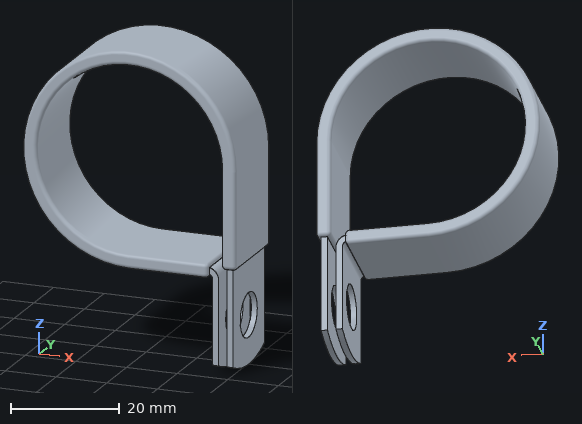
import cadquery as cq
import math

outer_radius = 21.05
cushion_thickness = 2.85
cushion_width = 17.5
cushion_rounding = 0.8
upright_cushion_end = -19.05
level_cushion_end = 15.6

strap_thickness = 1.2
strap_width = 16.0
bend_outer_radius = 2.3
bent_tab_outer_x = 17.4

tab_bottom = outer_radius - 60.65
tab_tip_rise = 1.75
hole_diameter = 8.6
hole_z = -30.0

cushion_inner_radius = outer_radius - cushion_thickness
strap_outer_radius = outer_radius - (cushion_thickness - strap_thickness) / 2
strap_inner_radius = strap_outer_radius - strap_thickness
diagonal = math.sqrt(0.5)


def loop_profile(outer, inner, upright_end, level_end):
    """Three-quarter loop with a level leg toward +X and an upright leg toward -Z."""
    return (
        cq.Workplane("XZ")
        .moveTo(level_end, -outer)
        .lineTo(0, -outer)
        .threePointArc((-outer * diagonal, outer * diagonal), (outer, 0))
        .lineTo(outer, upright_end)
        .lineTo(inner, upright_end)
        .lineTo(inner, 0)
        .threePointArc((-inner * diagonal, inner * diagonal), (0, -inner))
        .lineTo(level_end, -inner)
        .close()
    )


def make_cushion():
    cushion = loop_profile(
        outer_radius, cushion_inner_radius, upright_cushion_end, level_cushion_end
    ).extrude(cushion_width / 2, both=True)
    middle_radius = (outer_radius + cushion_inner_radius) / 2
    upright_end_face = cq.selectors.NearestToPointSelector((middle_radius, 0, upright_cushion_end))
    level_end_face = cq.selectors.NearestToPointSelector((level_cushion_end, 0, -middle_radius))
    rims = cushion.faces("|Y").edges()
    ends = cushion.faces(upright_end_face).edges().add(cushion.faces(level_end_face).edges())
    return rims.add(ends).fillet(cushion_rounding)


def make_strap():
    bend_center_x = bent_tab_outer_x - bend_outer_radius
    bend_center_z = -strap_inner_radius - bend_outer_radius
    bend_inner_radius = bend_outer_radius - strap_thickness
    loop = loop_profile(strap_outer_radius, strap_inner_radius, tab_bottom, bend_center_x)
    bent_tab = (
        cq.Workplane("XZ")
        .moveTo(bend_center_x, -strap_inner_radius)
        .threePointArc(
            (bend_center_x + bend_outer_radius * diagonal, bend_center_z + bend_outer_radius * diagonal),
            (bent_tab_outer_x, bend_center_z),
        )
        .lineTo(bent_tab_outer_x, tab_bottom)
        .lineTo(bent_tab_outer_x - strap_thickness, tab_bottom)
        .lineTo(bent_tab_outer_x - strap_thickness, bend_center_z)
        .threePointArc(
            (bend_center_x + bend_inner_radius * diagonal, bend_center_z + bend_inner_radius * diagonal),
            (bend_center_x, -strap_outer_radius),
        )
        .close()
    )
    half_width = strap_width / 2
    blank = loop.extrude(half_width, both=True).union(bent_tab.extrude(half_width, both=True))

    tip_envelope = (
        cq.Workplane("YZ")
        .moveTo(-half_width, outer_radius)
        .lineTo(-half_width, tab_bottom + tab_tip_rise)
        .threePointArc((0, tab_bottom), (half_width, tab_bottom + tab_tip_rise))
        .lineTo(half_width, outer_radius)
        .close()
        .extrude(outer_radius, both=True)
    )
    bolt_hole = (
        cq.Workplane("YZ")
        .center(0, hole_z)
        .circle(hole_diameter / 2)
        .extrude(outer_radius)
    )
    return blank.intersect(tip_envelope).cut(bolt_hole)


result = make_cushion().union(make_strap())